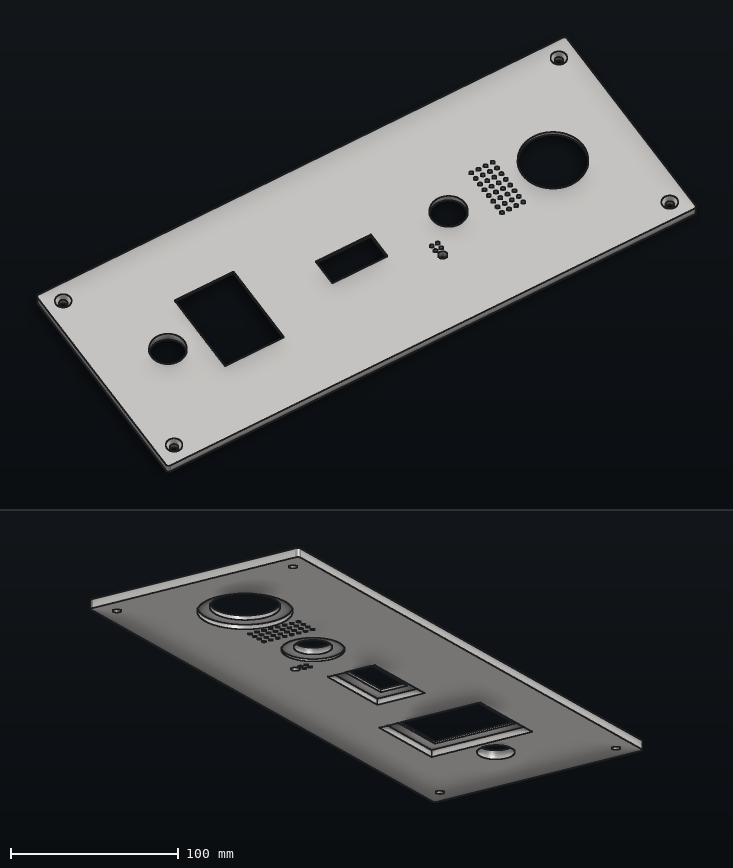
import cadquery as cq

width = 150.0
length = 370.0
thickness = 6.0
corner_radius = 2.0

screw_inset = 12.0
screw_diameter = 5.0
screw_head_diameter = 10.0
screw_head_angle = 90.0

recess_margin = 7.5

display_diameter = 42.0
display_y = 130.2
display_lip = 3.0

upper_button_diameter = 23.0
upper_button_y = 57.5
upper_button_lip = 4.5

lower_button_diameter = 22.5
lower_button_y = -138.8

slot_width = 19.0
slot_length = 38.5
slot_y = -10.5
slot_lip = 2.0

window_width = 57.5
window_length = 41.0
window_y = -96.0
window_lip = 1.5

grille_columns = 8
grille_rows = 4
grille_width = 34.8
grille_pitch = grille_width / (grille_columns - 1)
grille_hole_diameter = 2.5
grille_y = 91.5

microphone_count = 2
microphone_pitch = 4.0
microphone_hole_diameter = 2.5
microphone_x = 19.0
indicator_diameter = 5.5
indicator_x = 26.0
indicator_y = 37.5


def disc(x, y, diameter, height):
    """Cylinder standing on the underside plane, centred on (x, y)."""
    return cq.Workplane("XY").center(x, y).circle(diameter / 2).extrude(height)


def block(y, size_x, size_y, height):
    """Box standing on the underside plane, centred on (0, y)."""
    return cq.Workplane("XY").center(0, y).rect(size_x, size_y).extrude(height)


def recessed_round_opening(y, diameter, lip):
    """Round through opening with a wider round recess that leaves a lip at the top."""
    recess = disc(0, y, diameter + 2 * recess_margin, thickness - lip)
    return disc(0, y, diameter, thickness).union(recess)


def recessed_rectangular_opening(y, size_x, size_y, lip):
    """Rectangular through opening with a wider recess that leaves a lip at the top."""
    recess = block(y, size_x + 2 * recess_margin, size_y + 2 * recess_margin, thickness - lip)
    return block(y, size_x, size_y, thickness).union(recess)


def hole_grid(x, y, pitch, columns, rows, diameter):
    """Rectangular grid of through holes centred on (x, y)."""
    return (
        cq.Workplane("XY")
        .center(x, y)
        .rarray(pitch, pitch, columns, rows)
        .circle(diameter / 2)
        .extrude(thickness)
    )


def cut_screw_holes(body):
    """Cut a countersunk through hole at each corner."""
    return (
        body.faces(">Z")
        .workplane(origin=(0, 0, 0))
        .rect(width - 2 * screw_inset, length - 2 * screw_inset, forConstruction=True)
        .vertices()
        .cskHole(screw_diameter, screw_head_diameter, screw_head_angle)
    )


plate = (
    cq.Workplane("XY")
    .box(width, length, thickness, centered=(True, True, False))
    .edges("|Z")
    .fillet(corner_radius)
)
plate = cut_screw_holes(plate)

cutouts = [
    recessed_round_opening(display_y, display_diameter, display_lip),
    recessed_round_opening(upper_button_y, upper_button_diameter, upper_button_lip),
    disc(0, lower_button_y, lower_button_diameter, thickness),
    recessed_rectangular_opening(slot_y, slot_width, slot_length, slot_lip),
    recessed_rectangular_opening(window_y, window_width, window_length, window_lip),
    hole_grid(0, grille_y, grille_pitch, grille_columns, grille_rows, grille_hole_diameter),
    hole_grid(
        microphone_x,
        indicator_y,
        microphone_pitch,
        microphone_count,
        microphone_count,
        microphone_hole_diameter,
    ),
    disc(indicator_x, indicator_y, indicator_diameter, thickness),
]
for cutout in cutouts:
    plate = plate.cut(cutout)

result = plate